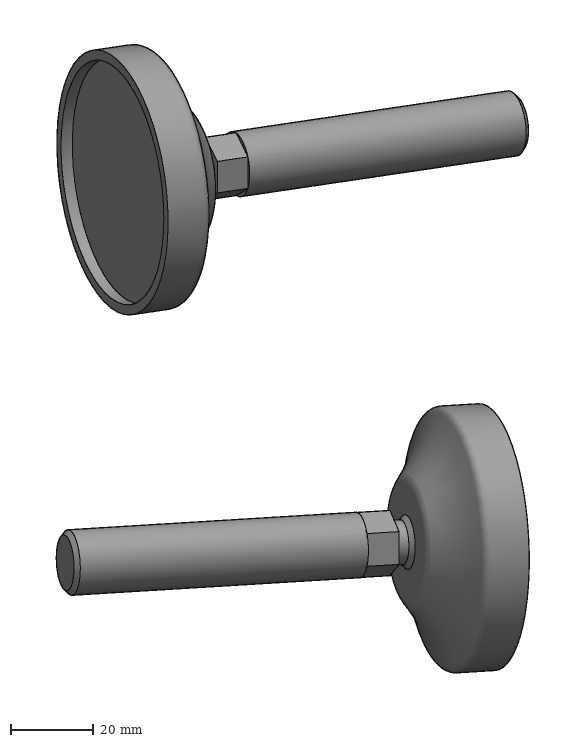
import cadquery as cq

total_length = 108.0

pad_radius = 65.0 / 2
pad_height = 20.6
rim_height = 11.1
crown_radius = 15.7
shoulder_arc_radius = 44.0
rim_fillet = 2.0
crown_fillet = 3.0
recess_radius = 60.0 / 2
recess_depth = 3.0

neck_radius = 11.0 / 2
neck_flare = 1.2

hex_across_flats = 14.0
hex_start = 24.8
hex_end = 33.0

spindle_radius = 16.0 / 2
spindle_chamfer = 1.2


def cylinder(radius, start, end):
    """Cylinder around the Y axis between two heights."""
    return cq.Workplane("XZ", origin=(0, start, 0)).circle(radius).extrude(start - end)


def make_pad():
    pad = (
        cq.Workplane("XY")
        .lineTo(pad_radius, 0)
        .lineTo(pad_radius, rim_height)
        .radiusArc((crown_radius, pad_height), shoulder_arc_radius)
        .lineTo(0, pad_height)
        .close()
        .revolve(360, (0, 0, 0), (0, 1, 0))
    )
    pad = pad.faces(">Y").edges().fillet(crown_fillet)
    pad = pad.faces("%CYLINDER").edges(">Y").fillet(rim_fillet)
    return pad.cut(cylinder(recess_radius, 0, recess_depth))


def make_neck():
    return (
        cq.Workplane("XY", origin=(0, pad_height, 0))
        .lineTo(neck_radius + neck_flare, 0)
        .lineTo(neck_radius, neck_flare)
        .lineTo(neck_radius, hex_start - pad_height)
        .lineTo(0, hex_start - pad_height)
        .close()
        .revolve(360, (0, 0, 0), (0, 1, 0))
    )


def make_hexagon():
    """Hexagon with two flats facing +X and -X."""
    return (
        cq.Workplane("XZ", origin=(0, hex_start, 0))
        .polygon(6, hex_across_flats, circumscribed=True)
        .extrude(hex_start - hex_end)
    )


def make_spindle():
    return cylinder(spindle_radius, hex_end, total_length).faces(">Y").chamfer(spindle_chamfer)


result = make_pad().union(make_neck()).union(make_hexagon()).union(make_spindle())